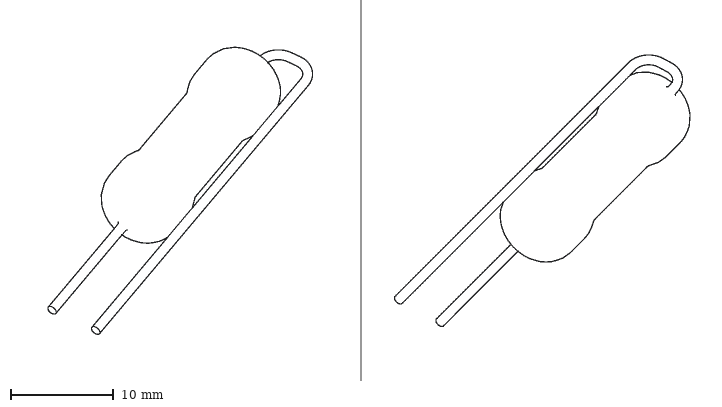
import cadquery as cq
import math

overall_length = 40.9
overall_width = 9.7
cap_radius = 8.4 / 2
waist_radius = 7.15 / 2
lead_radius = 1.0 / 2

dome_radius = 3.0
cap_outer_y = 8.95
cap_inner_y = 6.7
waist_end_y = 4.25
band_count = 7
neck_radius = 0.85
bend_radius = 2.0
lead_top_y = 15.38

lead_end_y = lead_top_y - overall_length
lead_spacing = overall_width - cap_radius - lead_radius
bend_top_y = lead_top_y - lead_radius
bend_start_y = bend_top_y - bend_radius

dome_center_x = cap_radius - dome_radius
neck_center_x = lead_radius + neck_radius
center_distance = dome_radius + neck_radius
tangent_angle = math.acos((neck_center_x - dome_center_x) / center_distance)
neck_center_y = cap_outer_y + center_distance * math.sin(tangent_angle)


def dome_point(angle):
    return (
        dome_center_x + dome_radius * math.cos(angle),
        cap_outer_y + dome_radius * math.sin(angle),
    )


def neck_point(angle):
    return (
        neck_center_x + neck_radius * math.cos(angle),
        neck_center_y + neck_radius * math.sin(angle),
    )


def make_cap():
    """Revolve the shoulder, cap, dome and neck at the +Y end of the body."""
    neck_mid_angle = (math.pi + math.pi + tangent_angle) / 2
    shoulder_rise = (cap_radius - waist_radius) / 2
    shoulder_run = (cap_inner_y - waist_end_y) / 2
    shoulder_radius = (shoulder_run**2 + shoulder_rise**2) / (2 * shoulder_rise)
    half_sweep = math.asin(shoulder_run / shoulder_radius) / 2
    shoulder_arc_middle = (
        waist_radius + shoulder_radius * (1 - math.cos(half_sweep)),
        waist_end_y + shoulder_radius * math.sin(half_sweep),
    )
    shoulder_middle = ((waist_radius + cap_radius) / 2, (waist_end_y + cap_inner_y) / 2)
    profile = (
        cq.Workplane("XY")
        .moveTo(0, waist_end_y)
        .lineTo(waist_radius, waist_end_y)
        .threePointArc(shoulder_arc_middle, shoulder_middle)
        .tangentArcPoint((cap_radius, cap_inner_y), relative=False)
        .lineTo(cap_radius, cap_outer_y)
        .threePointArc(dome_point(tangent_angle / 2), dome_point(tangent_angle))
        .threePointArc(neck_point(neck_mid_angle), neck_point(math.pi))
        .lineTo(0, neck_center_y)
        .close()
    )
    return profile.revolve(360, (0, 0), (0, 1))


def make_band(index):
    """One flush colour band of the waist, counted from its -Y end."""
    band_length = 2 * waist_end_y / band_count
    start_y = -waist_end_y + index * band_length
    return cq.Workplane("XZ", origin=(0, start_y, 0)).circle(waist_radius).extrude(-band_length)


def make_leads():
    """Sweep one wire through the body, around both bends and back along it."""
    bend_offset = bend_radius * math.sqrt(0.5)
    path = (
        cq.Workplane("XY")
        .moveTo(0, lead_end_y)
        .lineTo(0, bend_start_y)
        .threePointArc(
            (bend_radius - bend_offset, bend_start_y + bend_offset),
            (bend_radius, bend_top_y),
        )
        .lineTo(lead_spacing - bend_radius, bend_top_y)
        .threePointArc(
            (lead_spacing - bend_radius + bend_offset, bend_start_y + bend_offset),
            (lead_spacing, bend_start_y),
        )
        .lineTo(lead_spacing, lead_end_y)
    )
    section = cq.Workplane("XZ", origin=(0, lead_end_y, 0)).circle(lead_radius)
    return section.sweep(path)


cap = make_cap()
result = make_leads().union(cap).union(cap.mirror("XZ"))

for band_index in range(band_count):
    result = result.union(make_band(band_index), clean=False)